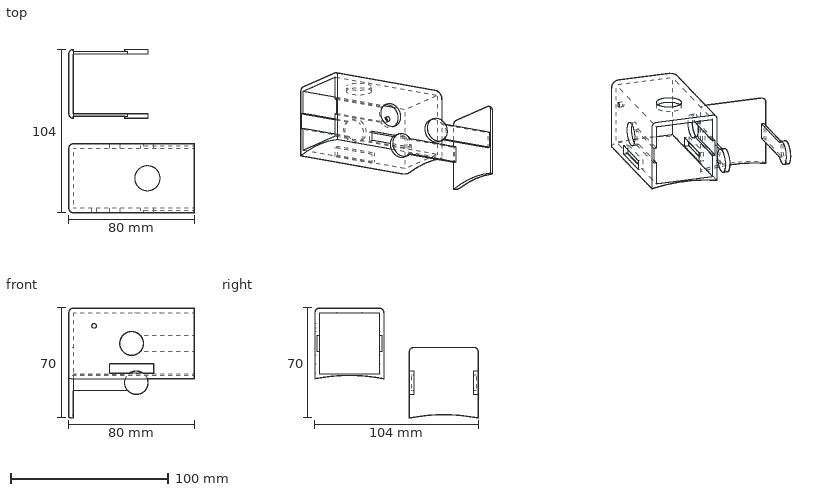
import cadquery as cq
import math

length = 80.0
width = 44.0
height = 45.0
wall = 3.0
edge_radius = 3.0
corner_size = 2 * edge_radius
corner_depth = 1.8
arch_rise = 2.2
overall_width = 104
overall_height = 70.0
body_spacing = overall_width - width
lid_drop = overall_height - height

snap_diameter = 15.0
snap_reach = length / 2
snap_z = height / 2
disc_thickness = 3.0
arm_thickness = 1.7
arm_height = 10.0

top_hole_diameter = 16.0
top_hole_x = 50.0
slot_length = 28.0
slot_height = 5.9
slot_bottom = 3.6
pin_hole_diameter = 3.0
pin_hole_x = 16.1
pin_hole_below_top = 11.3


def block(x, y, z, x_start=0.0, y_center=0.0, z_start=0.0):
    """Box that starts at x_start and z_start and is centred on y_center."""
    box = cq.Workplane("XY").box(x, y, z, centered=(False, True, False))
    return box.translate((x_start, y_center, z_start))


def cylinder_y(diameter, x, z, y_start, depth):
    """Cylinder along +Y from y_start."""
    axis = cq.Vector(0, 1, 0)
    return cq.Workplane(cq.Solid.makeCylinder(diameter / 2, depth, cq.Vector(x, y_start, z), axis))


def base_arch():
    """Cylinder along X that hollows the base to a shallow arch."""
    radius = ((width / 2) ** 2 + arch_rise ** 2) / (2 * arch_rise)
    start = cq.Vector(0, 0, arch_rise - radius)
    return cq.Workplane(cq.Solid.makeCylinder(radius, length, start, cq.Vector(1, 0, 0)))


def arc(start, center, end):
    """Quarter arc from start to end about center."""
    to_middle = ((start - center) + (end - center)).normalized()
    middle = center + to_middle * (start - center).Length
    return cq.Edge.makeThreePointArc(start, middle, end)


def corner_piece():
    """Cube at the origin whose outer corner is one smooth patch across three rounded edges."""
    near = edge_radius
    far = corner_size

    def turned(turn, u, v, w):
        """Point with its coordinates cycled, to repeat a shape on the three sides."""
        point = [u, v, w]
        return cq.Vector(*(point[turn:] + point[:turn]))

    faces = []
    patch_edges = []
    for turn in range(3):
        center = turned(turn, 0, far, far)
        start = turned(turn, 0, near, far)
        end = turned(turn, 0, far, near)
        face_arc = arc(start, center, end)
        outline = [face_arc, cq.Edge.makeLine(end, center), cq.Edge.makeLine(center, start)]
        faces.append(cq.Face.makeFromWires(cq.Wire.assembleEdges(outline)))

        start = turned(turn, far, near, 0)
        end = turned(turn, far, 0, near)
        section_arc = arc(start, turned(turn, far, near, near), end)
        loop = [
            end,
            turned(turn, far, 0, far),
            turned(turn, far, far, far),
            turned(turn, far, far, 0),
            start,
        ]
        sides = [cq.Edge.makeLine(p, q) for p, q in zip(loop, loop[1:])]
        faces.append(cq.Face.makeFromWires(cq.Wire.assembleEdges([section_arc] + sides)))

        patch_edges += [face_arc, section_arc]

    middle = cq.Vector(corner_depth, corner_depth, corner_depth)
    faces.append(cq.Face.makeNSidedSurface(patch_edges, [middle]))
    shell = cq.Shell.makeShell(faces)
    return cq.Workplane(cq.Solid.makeSolid(shell).fix())


def rounded_block():
    """Outer shape of the housing, open edges at the +X end and the base left sharp."""
    body = block(length, width, height)
    body = body.edges("(|Z and <X) or (|Y and <X and >Z) or (|X and >Z)").fillet(edge_radius)
    front_corner = corner_piece().mirror("XY").translate((0, -width / 2, height))
    for corner in (front_corner, front_corner.mirror("XZ")):
        side = math.copysign(1, corner.val().Center().y)
        y_center = side * (width - corner_size) / 2
        body = body.cut(block(corner_size, corner_size, corner_size, 0, y_center, height - corner_size))
        body = body.union(corner)
    return body


def make_housing():
    cavity = block(length - wall, width - 2 * wall, height - 2 * wall, wall, 0, wall)
    body = rounded_block().cut(cavity).cut(base_arch())

    snap_x = length - snap_reach
    body = body.cut(cylinder_y(snap_diameter, snap_x, snap_z, -width / 2, width))
    groove_width = width - 2 * (disc_thickness - arm_thickness)
    body = body.cut(block(snap_reach, groove_width, arm_height, snap_x, 0, snap_z - arm_height / 2))

    body = body.cut(block(slot_length, width, slot_height, (length - slot_length) / 2, 0, slot_bottom))

    pin_z = height - pin_hole_below_top
    body = body.cut(cylinder_y(pin_hole_diameter, pin_hole_x, pin_z, -width / 2, wall))

    top_plane = cq.Workplane("XY", origin=(top_hole_x, 0, height - wall))
    return body.cut(top_plane.circle(top_hole_diameter / 2).extrude(wall))


def make_lid():
    blank = block(2 * wall, width, height)
    blank = blank.edges("(|Z and <X) or (|Y and <X and >Z) or (|X and >Z)").fillet(edge_radius)
    lid = blank.intersect(block(wall, width, height)).cut(base_arch())

    for side in (-1, 1):
        arm_y = side * (width / 2 - disc_thickness + arm_thickness / 2)
        lid = lid.union(block(snap_reach, arm_thickness, arm_height, wall, arm_y, snap_z - arm_height / 2))
        disc_start = side * (width - disc_thickness) / 2 - disc_thickness / 2
        lid = lid.union(cylinder_y(snap_diameter, wall + snap_reach, snap_z, disc_start, disc_thickness))
    return lid.translate((0, body_spacing, -lid_drop))


housing = make_housing()
lid = make_lid()
result = cq.Compound.makeCompound([housing.val(), lid.val()])